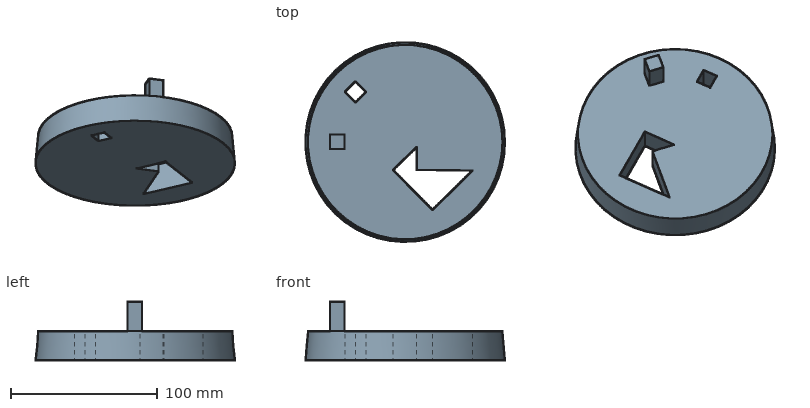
import cadquery as cq

base_diameter = 136.0
top_diameter = 132.5
base_height = 20.0

peg_side = 10.0
post_height = base_height
post_center = (-46.2, 0.3)
hole_center = (-33.9, 34.1)
hole_turn = 45.0

notch_x = 7.9
notch_y = -19.0
arrow_corners = [
    (notch_x, -3.4),
    (notch_x, notch_y),
    (45.7, -19.5),
    (18.6, -46.1),
    (-8.2, notch_y),
]


def tapered_base():
    return (
        cq.Workplane("XY")
        .circle(base_diameter / 2)
        .workplane(offset=base_height)
        .circle(top_diameter / 2)
        .loft(ruled=True)
    )


def square_post():
    return (
        cq.Workplane("XY")
        .center(*post_center)
        .rect(peg_side, peg_side)
        .extrude(base_height + post_height)
    )


def turned_square_hole():
    return (
        cq.Workplane("XY")
        .center(*hole_center)
        .transformed(rotate=(0, 0, hole_turn))
        .rect(peg_side, peg_side)
        .extrude(base_height)
    )


def arrow_opening():
    return cq.Workplane("XY").polyline(arrow_corners).close().extrude(base_height)


result = tapered_base().union(square_post()).cut(turned_square_hole()).cut(arrow_opening())